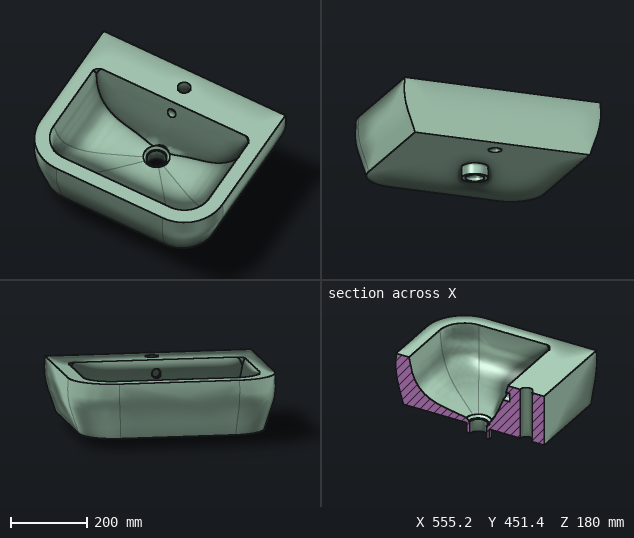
import cadquery as cq
import math


WIDTH = 555.16
DEPTH = 451.41
BODY_HEIGHT = 150.0
CORNER_RADIUS = 117.0
WALL_STATIONS = [
    (0.0, 2.0, 2.0),
    (-34.0, 0.0, 0.0),
    (-75.0, 5.5, 3.8),
    (-112.0, 17.5, 12.7),
    (-BODY_HEIGHT, 30.5, 24.0),
]

RIM_WIDTH = 42.0
SHELF_DEPTH = 110.0
BOWL_HALF_WIDTH = WIDTH / 2 - RIM_WIDTH
BOWL_FRONT = -(DEPTH - RIM_WIDTH)
BOWL_FRONT_RADIUS = CORNER_RADIUS - RIM_WIDTH
BOWL_BACK_RADIUS = 20.0

BOWL_DEPTH = 134.0
BOWL_STATIONS = [
    (0.0, 1.0),
    (-35.0, 0.965),
    (-70.0, 0.9),
    (-100.0, 0.765),
    (-121.0, 0.5),
    (-130.5, 0.25),
    (-BOWL_DEPTH, 0.1),
]
BOWL_OVERLAP = 20.0
BACK_WALL_POINTS = [
    (-SHELF_DEPTH, 0.0),
    (-121.0, -35.0),
    (-145.0, -94.0),
    (-159.0, -119.0),
    (-168.0, -130.0),
    (-190.0, -BOWL_DEPTH),
]

DRAIN_Y = -200.5
OUTLET_DIAMETER = 70.0
OUTLET_LENGTH = 30.0
DRAIN_SEAT_DEPTH = 6.5
DRAIN_LEDGE_DIAMETER = 54.0
DRAIN_LEDGE_DEPTH = 2.5
DRAIN_DIAMETER = 50.0
TAP_HOLE_Y = -55.0
TAP_HOLE_DIAMETER = 35.0
OVERFLOW_Z = -35.0
OVERFLOW_DIAMETER = 24.0
OVERFLOW_END_Y = -105.0
OVERFLOW_LENGTH = 35.0

TOTAL_HEIGHT = BODY_HEIGHT + OUTLET_LENGTH


def d_outline(z, half_width, back, front, radius):
    """Closed wire at height z: square at the back, rounded at the two front corners."""
    mid = radius * math.sqrt(0.5)
    arc_x = half_width - radius
    arc_y = front + radius
    return (
        cq.Workplane("XY", origin=(0, 0, z))
        .moveTo(-half_width, back)
        .lineTo(-half_width, arc_y)
        .threePointArc((-arc_x - mid, arc_y - mid), (-arc_x, front))
        .lineTo(arc_x, front)
        .threePointArc((arc_x + mid, arc_y - mid), (half_width, arc_y))
        .lineTo(half_width, back)
        .close()
        .val()
    )


def loft(wires):
    return cq.Workplane(cq.Solid.makeLoft(wires))


def outer_body():
    wires = []
    for z, side, front in WALL_STATIONS:
        wires.append(d_outline(z, WIDTH / 2 - side, 0, front - DEPTH, CORNER_RADIUS - front))
    return loft(wires)


def bowl_basin():
    """Basin with steep walls easing into a shallow floor, left open towards the back."""
    wires = []
    back = -SHELF_DEPTH + BOWL_OVERLAP
    for z, spread in BOWL_STATIONS:
        front = DRAIN_Y + (BOWL_FRONT - DRAIN_Y) * spread
        wires.append(d_outline(z, BOWL_HALF_WIDTH * spread, back, front, BOWL_FRONT_RADIUS * spread))
    return loft(wires)


def back_wall_limit():
    """Space in front of the curved back wall, the same across the whole width."""
    return (
        cq.Workplane("YZ", origin=(-WIDTH / 2, 0, 0))
        .moveTo(*BACK_WALL_POINTS[0])
        .spline(BACK_WALL_POINTS[1:], includeCurrent=True)
        .lineTo(-DEPTH, -BOWL_DEPTH)
        .lineTo(-DEPTH, 0)
        .close()
        .extrude(WIDTH)
    )


def bowl():
    """Basin closed by the curved back wall, with its two upright back corners rounded."""
    rounded_back = (
        cq.Workplane("XY", origin=(0, 0, -BOWL_DEPTH))
        .moveTo(0, -SHELF_DEPTH - DEPTH / 2)
        .rect(2 * BOWL_HALF_WIDTH, DEPTH)
        .extrude(BOWL_DEPTH)
        .edges("|Z and >Y")
        .fillet(BOWL_BACK_RADIUS)
    )
    return bowl_basin().intersect(back_wall_limit()).intersect(rounded_back)


def cylinder(diameter, y, top, bottom):
    return cq.Workplane("XY", origin=(0, y, bottom)).circle(diameter / 2).extrude(top - bottom)


def outlet():
    return cylinder(OUTLET_DIAMETER, DRAIN_Y, -BODY_HEIGHT, -TOTAL_HEIGHT)


def drain_hole():
    """Stepped through hole: conical seat, short ledge, then the bore of the outlet."""
    seat_bottom = -BOWL_DEPTH - DRAIN_SEAT_DEPTH
    ledge_bottom = seat_bottom - DRAIN_LEDGE_DEPTH
    half_profile = [
        (0, 0),
        (OUTLET_DIAMETER / 2, 0),
        (OUTLET_DIAMETER / 2, -BOWL_DEPTH),
        (DRAIN_LEDGE_DIAMETER / 2, seat_bottom),
        (DRAIN_LEDGE_DIAMETER / 2, ledge_bottom),
        (DRAIN_DIAMETER / 2, ledge_bottom),
        (DRAIN_DIAMETER / 2, -TOTAL_HEIGHT),
        (0, -TOTAL_HEIGHT),
    ]
    return (
        cq.Workplane("XZ", origin=(0, DRAIN_Y, 0))
        .polyline(half_profile)
        .close()
        .revolve(360, (0, 0, 0), (0, 1, 0))
    )


def tap_hole():
    return cylinder(TAP_HOLE_DIAMETER, TAP_HOLE_Y, 0, -BODY_HEIGHT)


def overflow_hole():
    """Blind horizontal hole in the middle of the back wall of the bowl."""
    return (
        cq.Workplane("XZ", origin=(0, OVERFLOW_END_Y, OVERFLOW_Z))
        .circle(OVERFLOW_DIAMETER / 2)
        .extrude(OVERFLOW_LENGTH)
    )


result = (
    outer_body()
    .union(outlet())
    .cut(bowl())
    .cut(drain_hole())
    .cut(tap_hole())
    .cut(overflow_hole())
)